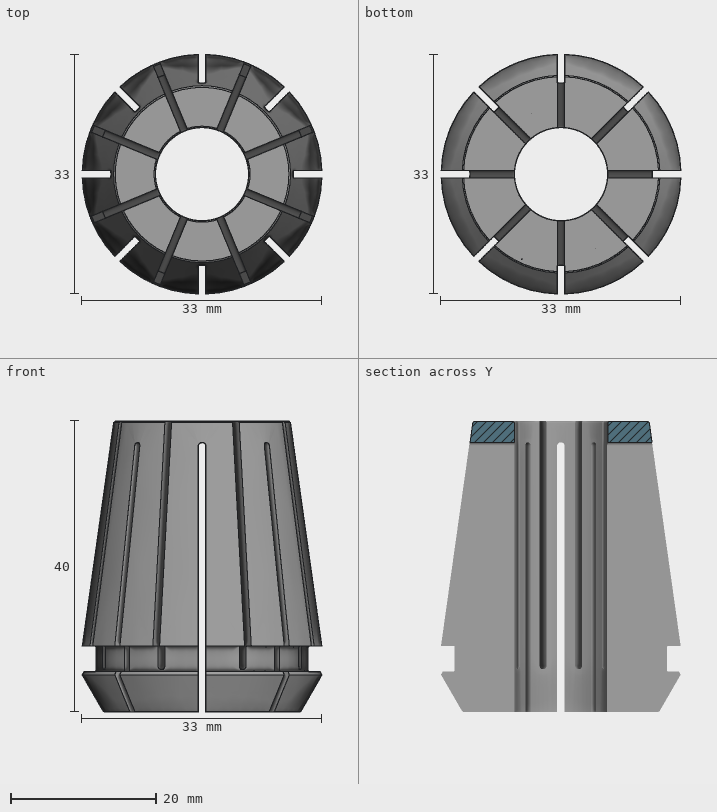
import cadquery as cq
import math

height = 40.0
flange_edge_z = 5.1
flange_top_z = 5.55
body_bottom_z = 9.1

max_radius = 16.5
groove_radius = 14.6
bore_radius = 6.4
body_taper = 8.0
nose_taper = 30.0
flange_top_inset = 0.25
edge_break = 0.2
groove_fillet = 0.15
nose_edge_break = 0.1

slot_width = 1.0
slot_corner_radius = 0.45
slots_per_set = 8
slot_pitch = 360.0 / slots_per_set
lower_slot_top_z = 37.05
upper_slot_bottom_z = 5.9

nose_radius = max_radius - flange_edge_z * math.tan(math.radians(nose_taper))
top_radius = max_radius - (height - body_bottom_z) * math.tan(math.radians(body_taper))


def collet_blank():
    """Solid of revolution: nose cone, flange, groove and long tapered body."""
    edge_break_taper = edge_break * math.tan(math.radians(body_taper))
    nose_break_taper = nose_edge_break * math.tan(math.radians(nose_taper))
    fillet_radius_end = groove_radius + groove_fillet
    half_section = (
        cq.Workplane("XZ")
        .moveTo(bore_radius, 0)
        .lineTo(nose_radius - nose_edge_break, 0)
        .lineTo(nose_radius + nose_break_taper, nose_edge_break)
        .lineTo(max_radius, flange_edge_z)
        .lineTo(max_radius - flange_top_inset, flange_top_z)
        .lineTo(fillet_radius_end, flange_top_z)
        .radiusArc((groove_radius, flange_top_z + groove_fillet), groove_fillet)
        .lineTo(groove_radius, body_bottom_z - groove_fillet)
        .radiusArc((fillet_radius_end, body_bottom_z), groove_fillet)
        .lineTo(max_radius, body_bottom_z)
        .lineTo(top_radius + edge_break_taper, height - edge_break)
        .lineTo(top_radius - edge_break, height)
        .lineTo(bore_radius + edge_break, height)
        .lineTo(bore_radius, height - edge_break)
        .close()
    )
    return half_section.revolve(360, (0, 0, 0), (0, 1, 0))


def radial_slot(closed_end_z, open_end_z, angle):
    """Cutter running outward from the axis, with both corners of its closed end rounded."""
    closed_end = "<Z" if closed_end_z < open_end_z else ">Z"
    cutter = (
        cq.Workplane("YZ")
        .center(0, (closed_end_z + open_end_z) / 2)
        .rect(slot_width, abs(open_end_z - closed_end_z))
        .extrude(max_radius + slot_width)
        .faces(closed_end)
        .edges("|X")
        .fillet(slot_corner_radius)
    )
    return cutter.rotate((0, 0, 0), (0, 0, 1), angle)


result = collet_blank()
for index in range(slots_per_set):
    lower_angle = index * slot_pitch
    upper_angle = lower_angle + slot_pitch / 2
    result = result.cut(radial_slot(lower_slot_top_z, 0, lower_angle))
    result = result.cut(radial_slot(upper_slot_bottom_z, height, upper_angle))